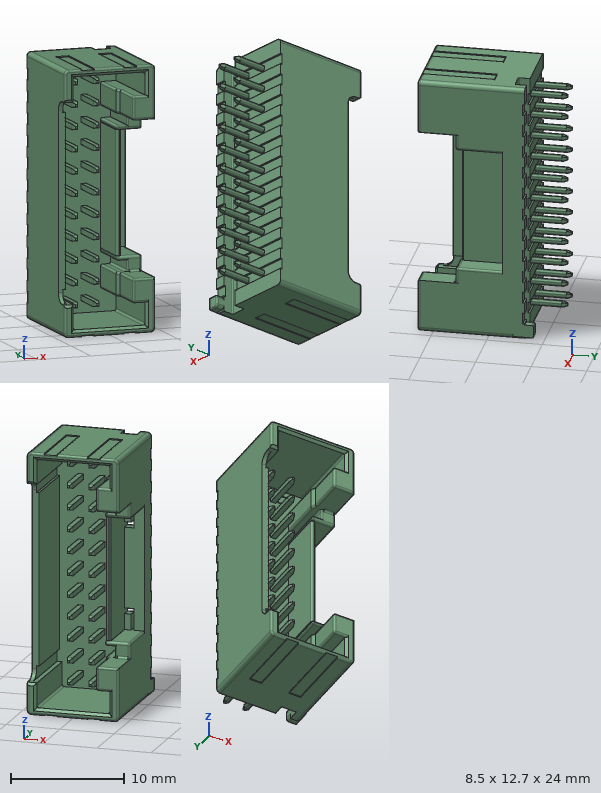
import cadquery as cq


WIDTH = 8.5
LENGTH = 24.0
DEPTH = 9.6
HALF_WIDTH = WIDTH / 2
HALF_LENGTH = LENGTH / 2
CORNER_RADIUS = 0.4
RIM_RADIUS = 0.2
SIDE_WALL = 0.88
END_WALL = 0.65
FLOOR_THICKNESS = 2.0
FLOOR_Y = DEPTH - FLOOR_THICKNESS
LEAD_IN = 0.25
CAVITY_RADIUS = 0.2

CAVITY_X = HALF_WIDTH - SIDE_WALL
CAVITY_Z = HALF_LENGTH - END_WALL

WINDOW_DEPTH = 1.6
WINDOW_HALF = 9.08
WINDOW_RADIUS = 0.9
THIN_WALL = 0.65
RELIEF_WALL = 0.41
RELIEF_LENGTH = 1.15

POST_OUTER_Z = 9.28
POST_INNER_Z = 7.1
GAP_INNER_Z = 6.05
RECESS_HALF = 5.66
RIB_X = 1.93
POST_X = 2.17
RECESS_X = 2.38
GAP_X = 2.87
STEP_Y = 3.4
RIB_Y = 3.6
RIB_CHAMFER = 0.15
POST_SLOPE_START = 3.3
POST_SLOPE_END = 3.72
EDGE_RADIUS = 0.2
GAP_EDGE_RADIUS = 0.13
RECESS_EDGE_RADIUS = 0.25

OPENING_INNER_Z = 3.7
TAB_INNER_Z = 4.2
TAB_X = 3.0

GROOVE_X = 1.75
GROOVE_OUTER_X = 3.25
GROOVE_DEPTH = 1.05
GROOVE_RADIUS = 0.1
CHANNEL_WIDTH = 1.0
CHANNEL_DEPTH = 0.18
PEG_BOTTOM = 0.2
PEG_LENGTH = 1.2
PEG_HEIGHT = 0.8
PEG_RADIUS = 0.3
PEG_TIP_RADIUS = 0.15

END_RECESS_WIDTH = 1.18
END_RECESS_LENGTH = 6.55
END_RECESS_DEPTH = 0.1
END_RECESS_CENTERS = (-2.05, 1.93)
MARK_WIDTH = 1.05
MARK_LENGTH = 0.85
MARK_CENTER = (1.44, 10.4)
MARK_DEPTH = 0.1

PIN_PITCH = 2.0
PINS_PER_ROW = 11
ROW_CENTER_X = -0.65
PIN_SIZE = 0.5
PIN_FRONT_Y = 4.0
PIN_BACK_Y = 12.7
PIN_TIP_SIZE = 0.2
PIN_TIP_LENGTH = 0.5
PIN_TAIL_RADIUS = 0.15

ROWS_X = [ROW_CENTER_X + side * PIN_PITCH / 2 for side in (-1, 1)]
PINS_Z = [(i - (PINS_PER_ROW - 1) / 2) * PIN_PITCH for i in range(PINS_PER_ROW)]


def block(x0, x1, y0, y1, z0, z1):
    """Box between two opposite corners."""
    return cq.Workplane("XY").box(x1 - x0, y1 - y0, z1 - z0, centered=False).translate((x0, y0, z0))


def both_ends(shape):
    """The shape together with its mirror image about Z = 0."""
    return shape.union(shape.mirror("XY"))


def shroud_blank():
    """Solid outer form with rounded corners and a rounded front rim."""
    blank = block(-HALF_WIDTH, HALF_WIDTH, 0, DEPTH, -HALF_LENGTH, HALF_LENGTH)
    blank = blank.edges("|Y").fillet(CORNER_RADIUS)
    return blank.faces("<Y").edges().fillet(RIM_RADIUS)


def taper_frustum(x0, x1, z0, z1, growth, y_wide, y_narrow):
    """Rectangle at y_narrow that grows by `growth` on every side on the way to y_wide."""
    center = ((x0 + x1) / 2, y_narrow, (z0 + z1) / 2)
    return (
        cq.Workplane(cq.Plane(center, xDir=(1, 0, 0), normal=(0, -1, 0)))
        .rect(x1 - x0, z1 - z0)
        .workplane(offset=y_narrow - y_wide)
        .rect(x1 - x0 + 2 * growth, z1 - z0 + 2 * growth)
        .loft(combine=True)
    )


def cavity():
    """Mating cavity with its lead-in chamfer at the mouth."""
    full = block(-CAVITY_X, CAVITY_X, 0, FLOOR_Y, -CAVITY_Z, CAVITY_Z)
    full = full.edges("|Y").fillet(CAVITY_RADIUS)
    mouth = taper_frustum(-CAVITY_X, CAVITY_X, -CAVITY_Z, CAVITY_Z, LEAD_IN, 0, LEAD_IN)
    return full.union(mouth)


def key_post():
    """Post on the +X wall, reaching the mouth and a little thicker below its sloped step."""
    beyond_wall = HALF_WIDTH + CORNER_RADIUS
    post = (
        cq.Workplane("XY", origin=(0, 0, POST_INNER_Z))
        .moveTo(beyond_wall, 0)
        .lineTo(POST_X, 0)
        .lineTo(POST_X, POST_SLOPE_START)
        .lineTo(RIB_X, POST_SLOPE_END)
        .lineTo(RIB_X, FLOOR_Y)
        .lineTo(beyond_wall, FLOOR_Y)
        .close()
        .extrude(POST_OUTER_Z - POST_INNER_Z)
    )
    front_corner = post.edges("|Z").edges("<Y").edges("<X")
    rounded = post.faces("<Z or >Z").edges("not (>X or >Y)").add(front_corner)
    return rounded.fillet(EDGE_RADIUS)


def step_block():
    """Low block between the key post and the latch recess, with the key gap cut into it."""
    low = block(RIB_X, HALF_WIDTH, STEP_Y, FLOOR_Y, RECESS_HALF, POST_OUTER_Z)
    gap = block(RIB_X, GAP_X, STEP_Y, FLOOR_Y, GAP_INNER_Z, POST_INNER_Z)
    gap = gap.edges("|Y").edges(">X").edges(">Z").fillet(EDGE_RADIUS)
    low = low.cut(gap)
    rib_corner = cq.selectors.NearestToPointSelector((RIB_X, (STEP_Y + FLOOR_Y) / 2, GAP_INNER_Z))
    low = low.edges(rib_corner).fillet(EDGE_RADIUS)
    low = low.faces("<Y").edges("<Z").fillet(RECESS_EDGE_RADIUS)
    low = low.faces("<Y").edges(">X").fillet(RIM_RADIUS)
    margin = GAP_EDGE_RADIUS / 2
    around_gap = cq.selectors.BoxSelector(
        (RIB_X - margin, STEP_Y - margin, GAP_INNER_Z - margin),
        (GAP_X + margin, STEP_Y + margin, POST_INNER_Z - EDGE_RADIUS),
    )
    low = low.faces("<Y").edges(around_gap).fillet(GAP_EDGE_RADIUS)
    return low.intersect(block(RIB_X, HALF_WIDTH, STEP_Y, FLOOR_Y, RECESS_HALF, POST_INNER_Z))


def step_fillet():
    """Concave fillet where the low block meets the key post."""
    strip = block(
        GAP_X + EDGE_RADIUS, HALF_WIDTH - EDGE_RADIUS, STEP_Y - EDGE_RADIUS, STEP_Y,
        POST_INNER_Z - EDGE_RADIUS, POST_INNER_Z,
    )
    hollow = (
        cq.Workplane("YZ", origin=(GAP_X, STEP_Y - EDGE_RADIUS, POST_INNER_Z - EDGE_RADIUS))
        .circle(EDGE_RADIUS)
        .extrude(HALF_WIDTH - GAP_X)
    )
    return strip.cut(hollow)


def guide_rib():
    """Thin rib with a rounded inner edge between the cavity and the latch recess."""
    rib = block(RIB_X, RECESS_X, RIB_Y, FLOOR_Y, -RECESS_HALF, RECESS_HALF)
    rib = rib.faces("<Y").edges("<X").fillet(EDGE_RADIUS)
    return rib.faces("<Y").edges(">X").chamfer(RIB_CHAMFER)


def latch_side_clearance():
    """Everything removed from the +X wall between the middles of the two key posts."""
    middle_of_post = (POST_INNER_Z + POST_OUTER_Z) / 2
    return block(RIB_X, HALF_WIDTH, 0, FLOOR_Y, -middle_of_post, middle_of_post)


def latch_opening():
    """L-shaped opening from the latch recess into the back groove, around a small tab."""
    outer = block(RECESS_X, GROOVE_OUTER_X, FLOOR_Y, DEPTH, OPENING_INNER_Z, RECESS_HALF)
    return outer.cut(block(RECESS_X, TAB_X, FLOOR_Y, DEPTH, TAB_INNER_Z, RECESS_HALF))


def window():
    """Cut-away of the -X wall, rounded at its two inner corners and chamfered at the mouth."""
    opening = block(-HALF_WIDTH, -CAVITY_X, 0, WINDOW_DEPTH, -WINDOW_HALF, WINDOW_HALF)
    opening = opening.edges("|X and >Y").fillet(WINDOW_RADIUS)
    mouth = taper_frustum(
        -HALF_WIDTH - LEAD_IN, -CAVITY_X, -WINDOW_HALF, WINDOW_HALF, LEAD_IN, 0, LEAD_IN
    )
    return opening.union(mouth)


def wall_reliefs():
    """The -X wall is thinned behind the window, and thinned further at the window's ends."""
    thin = block(-HALF_WIDTH + THIN_WALL, -CAVITY_X, 0, FLOOR_Y, -WINDOW_HALF, WINDOW_HALF)
    relief = block(
        -HALF_WIDTH + RELIEF_WALL, -CAVITY_X, 0, FLOOR_Y, WINDOW_HALF - RELIEF_LENGTH, WINDOW_HALF
    )
    return thin.union(both_ends(relief))


def back_groove():
    """Groove along the whole back face, beside the +X edge strip."""
    groove = block(
        GROOVE_X, GROOVE_OUTER_X, DEPTH - GROOVE_DEPTH, DEPTH, -HALF_LENGTH, HALF_LENGTH
    )
    return groove.edges("|Z and <Y").fillet(GROOVE_RADIUS)


def pin_channel(z):
    """Shallow channel across the back face at one pair of pins."""
    half = CHANNEL_WIDTH / 2
    return block(-HALF_WIDTH, HALF_WIDTH, DEPTH - CHANNEL_DEPTH, DEPTH, z - half, z + half)


def end_recess(x):
    """Shallow recess in the outer face of the +Z end wall, open at the mouth."""
    half = END_RECESS_WIDTH / 2
    return block(x - half, x + half, 0, END_RECESS_LENGTH, HALF_LENGTH - END_RECESS_DEPTH, HALF_LENGTH)


def floor_mark():
    """Rectangular recess in the cavity floor that marks the first pin."""
    x, z = MARK_CENTER
    return block(
        x - MARK_WIDTH / 2, x + MARK_WIDTH / 2, FLOOR_Y, FLOOR_Y + MARK_DEPTH,
        z - MARK_LENGTH / 2, z + MARK_LENGTH / 2,
    )


def locating_peg():
    """Peg on the back face, flush with the +X side."""
    bottom = -HALF_LENGTH + PEG_BOTTOM
    peg = block(
        GROOVE_OUTER_X, HALF_WIDTH, DEPTH - GROOVE_DEPTH, DEPTH + PEG_HEIGHT,
        bottom, bottom + PEG_LENGTH,
    )
    peg = peg.edges("|Y and <X").fillet(PEG_RADIUS)
    return peg.faces(">Y").edges("not >X").fillet(PEG_TIP_RADIUS)


def pin():
    """Square pin with a pyramid tip at the front and a round-cornered tail behind the floor."""
    half = PIN_SIZE / 2
    tip = PIN_TIP_SIZE / 2
    front_shank_y = PIN_FRONT_Y + PIN_TIP_LENGTH
    back_shank_y = PIN_BACK_Y - PIN_TIP_LENGTH
    tail_y = DEPTH - CHANNEL_DEPTH
    shank = block(-half, half, front_shank_y, tail_y, -half, half)
    front_tip = taper_frustum(-tip, tip, -tip, tip, half - tip, front_shank_y, PIN_FRONT_Y)
    tail = block(-half, half, tail_y, back_shank_y, -half, half)
    back_tip = taper_frustum(-tip, tip, -tip, tip, half - tip, back_shank_y, PIN_BACK_Y)
    rounded = block(-half, half, tail_y, PIN_BACK_Y, -half, half).edges("|Y").fillet(PIN_TAIL_RADIUS)
    tail = tail.union(back_tip).intersect(rounded)
    return shank.union(front_tip).union(tail)


def build():
    """The finished header: shroud, keying, back face details and pins."""
    blank = shroud_blank()
    part = blank.cut(cavity()).cut(latch_side_clearance())
    part = part.union(both_ends(key_post()).intersect(blank))
    part = part.union(both_ends(step_block())).union(both_ends(step_fillet())).union(guide_rib())
    part = part.cut(wall_reliefs()).cut(window())
    part = part.cut(both_ends(latch_opening()))
    part = part.cut(back_groove()).cut(floor_mark())
    for x in END_RECESS_CENTERS:
        part = part.cut(both_ends(end_recess(x)))
    for z in PINS_Z:
        part = part.cut(pin_channel(z))
    part = part.union(locating_peg())
    single = pin().val()
    pins = [single.moved(cq.Location((x, 0, z))) for x in ROWS_X for z in PINS_Z]
    return part.union(cq.Workplane(cq.Compound.makeCompound(pins)))


result = build()